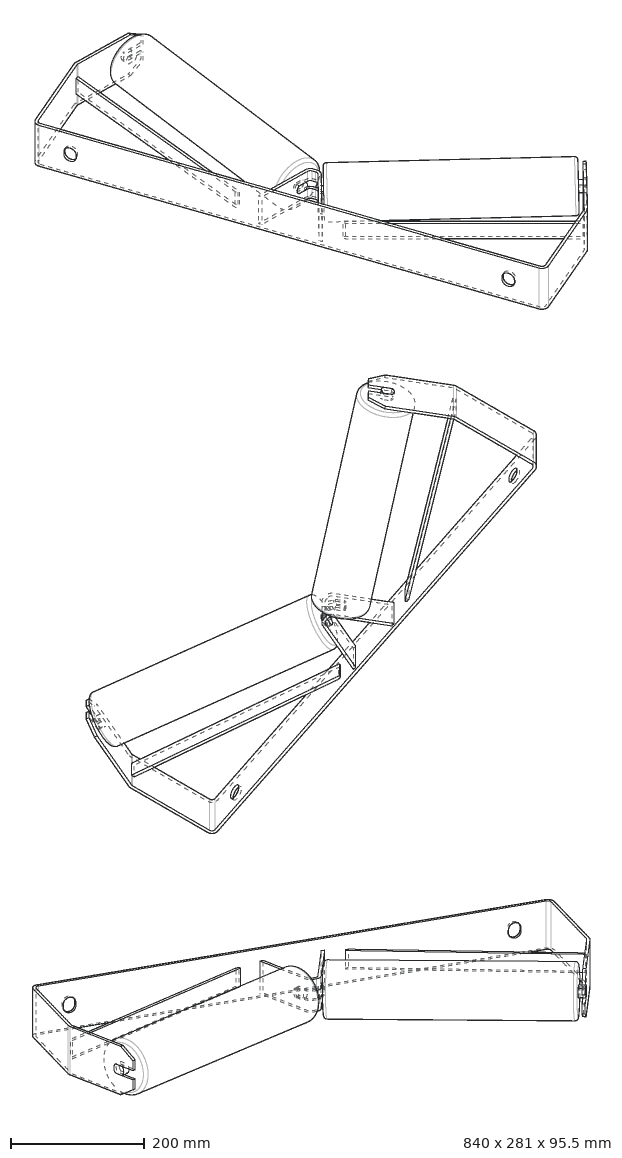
import cadquery as cq
import math

WIDTH = 840.0
HEIGHT = 80.0
SHEET = 5.0
BEND_RADIUS = 8.0
TROUGH_ANGLE = 25.0
ARM_START = 154.5
ARM_LENGTH = 131.0
ARM_CHAMFER_LONG = 25.0
ARM_CHAMFER_HIGH = 16.0

HOLE_WIDTH = 20.0
HOLE_HEIGHT = 25.0
HOLE_INSET = 61.0

ROLLER_DIAMETER = 89.0
ROLLER_LENGTH = 381.0
ROLLER_ROUND = 5.0
ROLLER_TILT = 1.0
ROLLER_DROP = 3.0
OUTER_GAP = 7.0
INNER_GAP = 3.0
AXIS_ON_ARM = 102.5
SHAFT_DIAMETER = 20.0
SHAFT_FLATS = 15.0

BRACKET_REACH = 96.0
BRACKET_HEIGHT = 54.0

BRACE_HEIGHT = 30.0
BRACE_ANGLE = 24.0
BRACE_LENGTH = 364.0

ANGLE = math.radians(TROUGH_ANGLE)
TILT = math.radians(ROLLER_TILT)
SIDES = (-1, 1)

ALONG_ARM = cq.Vector(math.sin(ANGLE), math.cos(ANGLE), 0)
INWARD = cq.Vector(math.cos(ANGLE), -math.sin(ANGLE), 0)
ARM_BEND = cq.Vector(-WIDTH / 2, ARM_START, 0)

ARM_REACH = ROLLER_LENGTH / 2 + OUTER_GAP + SHEET
LEG_REACH = ROLLER_LENGTH / 2 + INNER_GAP + SHEET
AXIS_CENTER = ARM_BEND + ALONG_ARM * AXIS_ON_ARM + INWARD * ARM_REACH


def mirrored(points):
    """Complete a left-half path with its mirror image on the right."""
    return points + [cq.Vector(-p.x, p.y, p.z) for p in reversed(points)]


def bent_strip(points, height):
    """Strip of the given height swept along the middle line of its sheet, rounded at the bends."""
    path = cq.Wire.makePolygon(points).fillet(BEND_RADIUS)
    start = cq.Plane(origin=points[0], xDir=(0, 0, 1), normal=points[1] - points[0])
    return cq.Workplane(start).rect(height, SHEET).sweep(cq.Workplane(obj=path))


def on_roller_axis(shape):
    """Move a shape from a Z axis at the origin (+Z inward, +X to the open side) to the left roller."""
    axis = INWARD * math.cos(TILT) - cq.Vector(0, 0, math.sin(TILT))
    center = AXIS_CENTER - cq.Vector(0, 0, ROLLER_DROP)
    return shape.moved(cq.Plane(origin=center, xDir=ALONG_ARM, normal=axis).location)


def both_sides(shape):
    """The left-hand shape and its mirror image."""
    return [shape, shape.mirror("YZ")]


def axial_cylinder(diameter, outer_reach, inner_reach):
    """Cylinder about the Z axis from -outer_reach to +inner_reach."""
    base = cq.Workplane("XY").workplane(offset=-outer_reach)
    return base.circle(diameter / 2).extrude(outer_reach + inner_reach)


def shaft_blank():
    """Shaft from outer strip face to outer strip face, flatted to fit the slots."""
    blank = axial_cylinder(SHAFT_DIAMETER, ARM_REACH, LEG_REACH)
    flats = cq.Workplane("XY").box(SHAFT_DIAMETER, SHAFT_FLATS, 2 * ARM_REACH)
    return blank.intersect(flats)


def make_roller():
    shell = axial_cylinder(ROLLER_DIAMETER, ROLLER_LENGTH / 2, ROLLER_LENGTH / 2)
    shell = shell.faces("|Z").edges().fillet(ROLLER_ROUND)
    return on_roller_axis(shell.union(shaft_blank()).val())


def make_slot_cutter():
    """Shaft outline, lengthened at both ends and opened towards the arm tips."""
    depth = ARM_REACH + 2 * SHEET
    seat = axial_cylinder(SHAFT_DIAMETER, depth, depth)
    throat = cq.Workplane("XY").box(ARM_LENGTH, SHAFT_DIAMETER, 2 * depth, centered=(False, True, True))
    flats = cq.Workplane("XY").box(2 * ARM_LENGTH, SHAFT_FLATS, 2 * depth)
    return on_roller_axis(seat.union(throat).intersect(flats).val())


def make_frame():
    half = SHEET / 2
    bend = ARM_BEND + cq.Vector(half, -half * math.tan(ANGLE / 2), 0)
    tip = bend + ALONG_ARM * ARM_LENGTH
    corner = cq.Vector(half - WIDTH / 2, half, 0)
    frame = bent_strip(mirrored([tip, bend, corner]), HEIGHT)

    for side in SIDES:
        hole = cq.Workplane("XZ").center(side * (WIDTH / 2 - HOLE_INSET), 0)
        frame = frame.cut(hole.slot2D(HOLE_HEIGHT, HOLE_WIDTH, 90).extrude(-SHEET))

    for side in SIDES:
        corner_cut = (
            cq.Workplane(cq.Plane(origin=tip, xDir=ALONG_ARM, normal=INWARD))
            .polyline([
                (0, side * HEIGHT / 2),
                (-ARM_CHAMFER_LONG, side * HEIGHT / 2),
                (0, side * (HEIGHT / 2 - ARM_CHAMFER_HIGH)),
            ])
            .close()
            .extrude(SHEET, both=True)
        )
        for cutter in both_sides(corner_cut.val()):
            frame = frame.cut(cq.Workplane(obj=cutter))
    return frame.val()


def make_bracket():
    """Inverted V standing on the rail, with a flat crown."""
    half = SHEET / 2
    axis_drop = ROLLER_DROP + LEG_REACH * math.sin(TILT)
    leg_point = AXIS_CENTER + INWARD * (LEG_REACH - half)
    slope = math.tan(ANGLE)
    crown_y = BRACKET_REACH - half
    crown = cq.Vector(leg_point.x + (crown_y - leg_point.y) * slope, crown_y, -axis_drop)
    foot = cq.Vector(leg_point.x - leg_point.y * slope, 0, -axis_drop)
    strip = bent_strip(mirrored([foot, crown]), BRACKET_HEIGHT)
    rail_zone = cq.Workplane("XY").box(WIDTH, 2 * SHEET, HEIGHT)
    return strip.cut(rail_zone).val()


def make_brace(frame):
    """Flat bar from the arm bend down to the rail, trimmed where it meets the frame."""
    bar = (
        cq.Workplane("XY")
        .box(BRACE_LENGTH, SHEET, BRACE_HEIGHT, centered=(False, True, True))
        .rotate((0, 0, 0), (0, 0, 1), -BRACE_ANGLE)
        .translate(ARM_BEND + INWARD * (SHEET / 2))
    )
    return bar.val().cut(frame)


slots = both_sides(make_slot_cutter())
solid_frame = make_frame()
frame = solid_frame.cut(*slots)
bracket = make_bracket().cut(*slots)
rollers = both_sides(make_roller())
braces = both_sides(make_brace(solid_frame))

bodies = [frame, bracket, *rollers, *braces]
result = cq.Compound.makeCompound([solid for body in bodies for solid in body.Solids()])